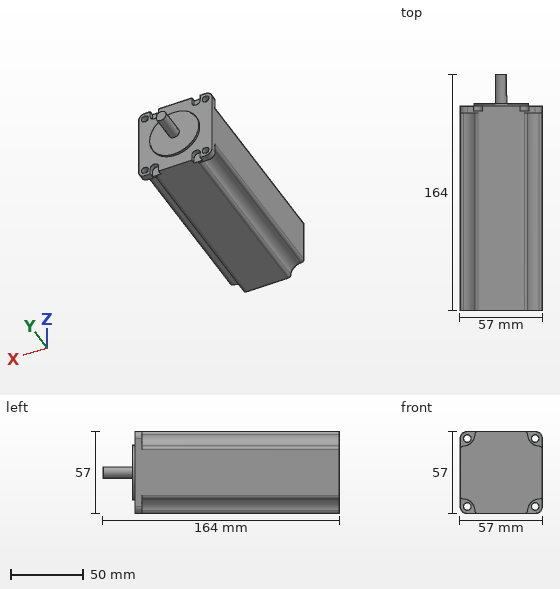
import cadquery as cq
import math

FRAME_SIZE = 57.0
TOTAL_LENGTH = 164.0

SHAFT_DIAMETER = 8.0
SHAFT_LENGTH = 20.4
FLAT_CUT = 0.5
FLAT_LENGTH = 15.0

PILOT_DIAMETER = 38.1
PILOT_HEIGHT = 1.6
FLANGE_THICKNESS = 4.9
HOLE_SPACING = 47.14
HOLE_DIAMETER = 5.1
CORNER_RADIUS = (FRAME_SIZE - HOLE_SPACING) / 2

FLUTE_RADIUS = 8.3
FLUTE_CENTER_DEPTH = 1.9
LIP_RADIUS = 2.25

POCKET_WIDTH = 6.4
POCKET_OFFSET = 16.2
POCKET_LENGTH = 3.5
POCKET_CENTER_DEPTH = 4.5

HALF_FRAME = FRAME_SIZE / 2
SHAFT_TIP_Y = TOTAL_LENGTH / 2
PILOT_FACE_Y = SHAFT_TIP_Y - SHAFT_LENGTH
FLANGE_FACE_Y = PILOT_FACE_Y - PILOT_HEIGHT
FLANGE_REAR_Y = FLANGE_FACE_Y - FLANGE_THICKNESS
REAR_Y = SHAFT_TIP_Y - TOTAL_LENGTH


def section_plane(y):
    """Sketch plane facing -Y at the given station; its local axes are X and Z."""
    return cq.Workplane("XZ", origin=(0, y, 0))


def make_body():
    """Flanged square block that becomes the body once the corners are fluted."""
    body_length = FLANGE_FACE_Y - REAR_Y
    block = section_plane(FLANGE_FACE_Y).rect(FRAME_SIZE, FRAME_SIZE).extrude(body_length)
    return block.edges("|Y").fillet(CORNER_RADIUS)


def flute_cutter():
    """Material removed at the +X +Z corner, from the rear face up to the flange."""
    flute_center = HALF_FRAME - FLUTE_CENTER_DEPTH
    flute_middle = flute_center - FLUTE_RADIUS * math.sqrt(0.5)

    lip_z = HALF_FRAME - LIP_RADIUS
    center_distance = FLUTE_RADIUS + LIP_RADIUS
    lip_x = flute_center - math.sqrt(center_distance**2 - (lip_z - flute_center) ** 2)

    lip_share = LIP_RADIUS / center_distance
    lip_end = (
        lip_x + lip_share * (flute_center - lip_x),
        lip_z + lip_share * (flute_center - lip_z),
    )
    lip_end_angle = math.atan2(lip_end[1] - lip_z, lip_end[0] - lip_x)
    lip_middle_angle = (math.pi / 2 + lip_end_angle) / 2
    lip_middle = (
        lip_x + LIP_RADIUS * math.cos(lip_middle_angle),
        lip_z + LIP_RADIUS * math.sin(lip_middle_angle),
    )

    return (
        section_plane(FLANGE_REAR_Y)
        .moveTo(lip_x, HALF_FRAME)
        .threePointArc(lip_middle, lip_end)
        .threePointArc((flute_middle, flute_middle), lip_end[::-1])
        .threePointArc(lip_middle[::-1], (HALF_FRAME, lip_x))
        .lineTo(HALF_FRAME, HALF_FRAME)
        .close()
        .extrude(FLANGE_REAR_Y - REAR_Y)
    )


def cut_flutes(body):
    """Flute all four corners."""
    cutter = flute_cutter()
    for angle in (0, 90, 180, 270):
        body = body.cut(cutter.rotate((0, 0, 0), (0, 1, 0), angle))
    return body


def cut_mounting_holes(body):
    """Four through holes in the flange corners."""
    holes = (
        section_plane(FLANGE_FACE_Y)
        .rect(HOLE_SPACING, HOLE_SPACING, forConstruction=True)
        .vertices()
        .circle(HOLE_DIAMETER / 2)
        .extrude(FLANGE_THICKNESS)
    )
    return body.cut(holes)


def cut_pockets(body):
    """Two round-bottomed pockets in the top face and two in the bottom face."""
    radius = POCKET_WIDTH / 2
    center_z = HALF_FRAME - POCKET_CENTER_DEPTH
    cutter = (
        section_plane(FLANGE_FACE_Y)
        .moveTo(POCKET_OFFSET - radius, HALF_FRAME)
        .lineTo(POCKET_OFFSET - radius, center_z)
        .threePointArc((POCKET_OFFSET, center_z - radius), (POCKET_OFFSET + radius, center_z))
        .lineTo(POCKET_OFFSET + radius, HALF_FRAME)
        .close()
        .extrude(POCKET_LENGTH)
    )
    right_and_left = cutter.union(cutter.mirror("YZ"))
    return body.cut(right_and_left).cut(right_and_left.mirror("XY"))


def make_pilot():
    """Round pilot boss on the front of the flange."""
    return section_plane(PILOT_FACE_Y).circle(PILOT_DIAMETER / 2).extrude(PILOT_HEIGHT)


def make_shaft():
    """Output shaft with the flat cut on its +X side."""
    radius = SHAFT_DIAMETER / 2
    shaft = section_plane(SHAFT_TIP_Y).circle(radius).extrude(SHAFT_LENGTH)
    flat = (
        section_plane(SHAFT_TIP_Y)
        .center(radius - FLAT_CUT / 2, 0)
        .rect(FLAT_CUT, SHAFT_DIAMETER)
        .extrude(FLAT_LENGTH)
    )
    return shaft.cut(flat)


body = cut_pockets(cut_mounting_holes(cut_flutes(make_body())))
result = body.union(make_pilot()).union(make_shaft())